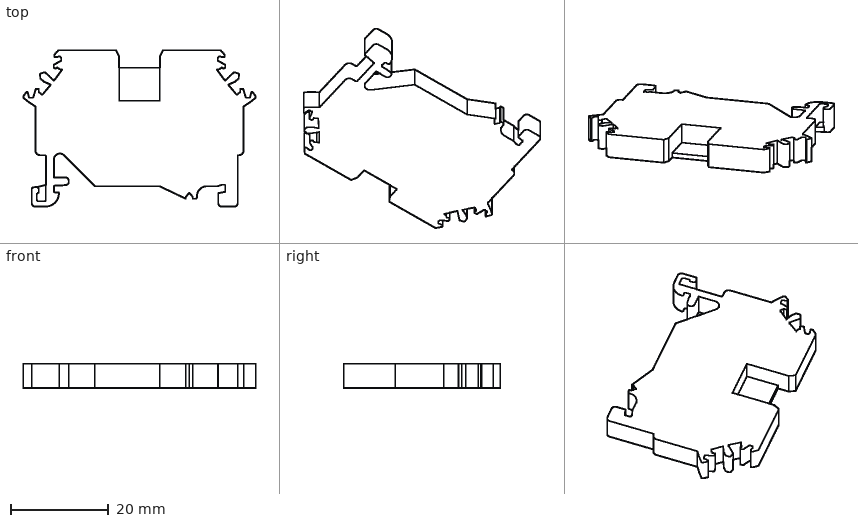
import cadquery as cq
import math

overall_width = 47.5
overall_height = 32.0
thickness = 5.0

body_width = 42.55
side_wall_top = 20.45
shoulder_height = 10.5
shoulder_radius = 1.0
underside_height = 4.14

slot_width = 8.3
slot_bottom = 21.6
slot_chamfer_width = 0.65
slot_chamfer_height = 1.3
slot_floor_top = 28.4
floor_thickness = 1.0

left_foot_outer = -22.05
left_leg_outer = -19.12
left_leg_inner = -17.45
relief_start = -9.1
hook_bottom = 1.09
lip_inner = -20.98
lip_tip_inner = -20.6
web_outer_height = 3.93
web_leg_height = 4.47

right_foot_inner = 16.05
right_foot_outer = 20.1
rail_notch_depth_x = 17.5
rail_notch_bottom = 3.05
rail_notch_top = 4.45

nib_center = 10.17
nib_notch_width = 1.36
nib_notch_side_top = 1.99
nib_notch_apex = 2.85
nib_bottom = 1.58

half_overall = overall_width / 2
half_body = body_width / 2
half_slot = slot_width / 2

slot_side = [
    (half_slot, slot_bottom, 0),
    (half_slot, overall_height - slot_chamfer_height, 0),
    (half_slot + slot_chamfer_width, overall_height, 0),
]

upper_teeth = [
    (16.55, overall_height, 0.2),
    (17.42, 31.0, 0.2),
    (17.42, 30.5, 0.2),
    (16.75, 30.58, 0.1),
    (16.02, 30.75, 0.35),
    (16.02, 29.82, 0.2),
    (17.55, 29.0, 0.2),
    (17.55, 28.4, 0.2),
    (17.2, 28.2, 0.1),
    (16.78, 28.42, 0.1),
    (16.35, 28.07, 0),
    (15.84, 27.97, 0),
]

middle_finger = [
    (17.48, 25.75, 0),
    (19.3, 27.5, 0.2),
    (20.35, 27.2, 0.35),
    (20.3, 26.2, 0.35),
    (19.5, 25.5, 0.5),
    (18.14, 24.92, 0),
]

lower_arm = [
    (19.88, 22.86, 0.1),
    (20.53, 23.42, 0),
    (20.53, 24.07, 0),
    (21.2, 24.07, 0.15),
    (21.75, 22.26, 0.15),
    (22.55, 22.26, 0.2),
    (22.8, 23.36, 0),
    (23.05, 23.5, 0),
    (half_overall, 22.55, 0.1),
    (half_overall, 22.25, 0.1),
    (22.6, 21.33, 0),
    (half_body, side_wall_top, 0),
]

head_side = slot_side + upper_teeth + middle_finger + lower_arm + [
    (half_body, shoulder_height, shoulder_radius),
]

right_foot = [
    (right_foot_outer, shoulder_height, 0),
    (right_foot_outer, 0, 0.8),
    (right_foot_inner, 0, 0.8),
    (right_foot_inner, 2.78, 0.2),
    (rail_notch_depth_x, rail_notch_bottom, 0.2),
    (rail_notch_depth_x, rail_notch_top, 0.1),
    (16.8, rail_notch_top, 0.3),
    (15.95, underside_height, 0),
]

underside = [
    (11.82, underside_height, 1.95),
    (11.75, nib_bottom, 0.45),
    (nib_center + nib_notch_width / 2, nib_bottom, 0),
    (nib_center + nib_notch_width / 2, nib_notch_side_top, 0),
    (nib_center, nib_notch_apex, 0),
    (nib_center - nib_notch_width / 2, nib_notch_side_top, 0),
    (nib_center - nib_notch_width / 2, nib_bottom, 0),
    (half_slot, underside_height, 0),
    (relief_start, underside_height, 0),
]

relief_corner_height = underside_height + (relief_start - left_leg_inner)

left_foot = [
    (left_leg_inner, relief_corner_height, 1.17),
    (left_leg_inner, 6.0, 0),
    (-14.42, 6.0, 0.75),
    (-14.42, 4.5, 0.65),
    (-16.1, 4.28, 0),
    (left_leg_inner, 4.28, 0.2),
    (left_leg_inner, 2.95, 0.2),
    (-16.38, 2.95, 0.25),
    (-16.85, 0, 2.75),
    (left_foot_outer, 0, 0.8),
    (left_foot_outer, 3.9, 0.4),
    (lip_tip_inner, 4.15, 0.5),
    (lip_tip_inner, 2.9, 0.15),
    (lip_inner, 2.65, 0.15),
    (lip_inner, hook_bottom, 0.4),
    (left_leg_outer, hook_bottom, 0.3),
    (left_leg_outer, shoulder_height, 0.2),
]


def corner_arc(before, corner, after):
    """Start, middle and end of the tangent arc that rounds one corner."""
    x, y, radius = corner
    angle_in = math.atan2(before[1] - y, before[0] - x)
    angle_out = math.atan2(after[1] - y, after[0] - x)
    opening = (angle_out - angle_in + math.pi) % (2 * math.pi) - math.pi
    half_opening = abs(opening) / 2
    bisector = angle_in + opening / 2
    tangent_length = radius / math.tan(half_opening)
    middle_distance = radius / math.sin(half_opening) - radius
    start = (x + tangent_length * math.cos(angle_in), y + tangent_length * math.sin(angle_in))
    middle = (x + middle_distance * math.cos(bisector), y + middle_distance * math.sin(bisector))
    end = (x + tangent_length * math.cos(angle_out), y + tangent_length * math.sin(angle_out))
    return start, middle, end


def rounded_plate(points, height):
    """Plate from Z = 0 whose closed outline has the given corner radii; the first corner is sharp."""
    outline = cq.Workplane("XY").moveTo(points[0][0], points[0][1])
    for index in range(1, len(points)):
        corner = points[index]
        if corner[2] == 0:
            outline = outline.lineTo(corner[0], corner[1])
            continue
        following = points[(index + 1) % len(points)]
        start, middle, end = corner_arc(points[index - 1], corner, following)
        outline = outline.lineTo(*start).threePointArc(middle, end)
    return outline.close().extrude(height)


def housing():
    """Full-thickness plate with the open slot, the marker teeth and both feet."""
    mirrored_head_side = [(-x, y, radius) for x, y, radius in reversed(head_side)]
    return rounded_plate(head_side + right_foot + underside + left_foot + mirrored_head_side, thickness)


def slot_floor():
    """Thin floor that closes the lower part of the slot."""
    floor_height = slot_floor_top - slot_bottom
    floor = cq.Workplane("XY").box(slot_width, floor_height, floor_thickness, centered=(True, False, False))
    return floor.translate((0, slot_bottom, 0))


def hook_web():
    """Thin web that fills the pocket of the left foot between the lip and the leg."""
    web_outer = (left_foot_outer + lip_tip_inner) / 2
    pocket_floor_overlap = hook_bottom / 2
    corners = [
        (web_outer, pocket_floor_overlap),
        (left_leg_outer, pocket_floor_overlap),
        (left_leg_outer, web_leg_height),
        (web_outer, web_outer_height),
    ]
    return cq.Workplane("XY").polyline(corners).close().extrude(floor_thickness)


result = housing().union(slot_floor()).union(hook_web())